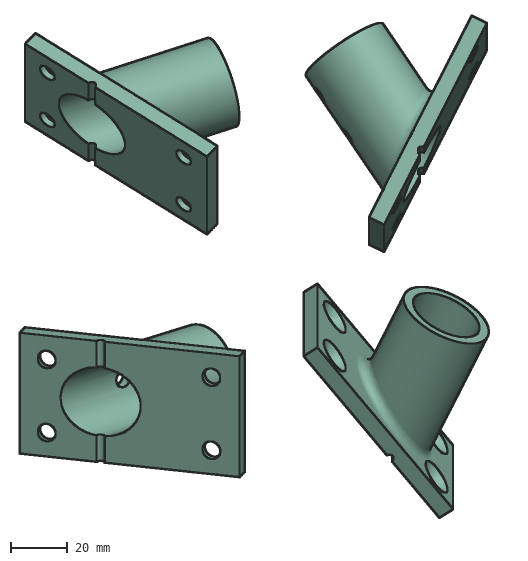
import cadquery as cq
import math

plate_length = 81.5
plate_height = 45.5
plate_thickness = 6.0
mid_height = plate_height / 2

screw_hole_diameter = 6.5
screw_spacing_x = 61.05
screw_spacing_z = 27.5
screw_center_x = 40.5
countersink_diameter = 13.0

tube_x = 30.0
tube_tilt = 30.0
tube_diameter = 33.0
bore_diameter = 25.7
total_depth = 51.2
base_fillet = 3.0

cross_hole_diameter = 6.5
cross_hole_setbacks = (9.0, 27.0)

groove_radius = 1.5

tilt = math.radians(tube_tilt)
tube_length = (total_depth - tube_diameter / 2 * math.sin(tilt)) / math.cos(tilt)
tube_origin = cq.Vector(tube_x, 0, mid_height)
tube_direction = cq.Vector(math.sin(tilt), math.cos(tilt), 0)
wall_direction = cq.Vector(-math.cos(tilt), math.sin(tilt), 0)


def cylinder(diameter, length, start, direction):
    return cq.Workplane(cq.Solid.makeCylinder(diameter / 2, length, start, direction))


def make_plate():
    return cq.Workplane().box(plate_length, plate_thickness, plate_height, centered=False)


def make_tube():
    """Solid tube, started below the front face and trimmed flush with it."""
    start = tube_origin - tube_direction * tube_diameter
    tube = cylinder(tube_diameter, tube_length + tube_diameter, start, tube_direction)
    trim_size = 2 * plate_length
    trim = cq.Workplane().box(trim_size, trim_size, trim_size).translate((0, -trim_size / 2, 0))
    return tube.cut(trim)


def fillet_tube_base(body):
    """Round the corner where the tube leaves the back of the plate."""
    edge_margin = 0.1
    joint_center_x = tube_x + plate_thickness * math.tan(tilt)
    reach = 0.7 * tube_diameter
    around_joint = cq.selectors.BoxSelector(
        (joint_center_x - reach, plate_thickness - edge_margin, 0),
        (joint_center_x + reach, plate_thickness + edge_margin, plate_height),
        boundingbox=True,
    )
    return body.edges(around_joint).fillet(base_fillet)


def make_bore():
    start = tube_origin - tube_direction * tube_diameter
    return cylinder(bore_diameter, tube_length + 2 * tube_diameter, start, tube_direction)


def cut_screw_holes(body):
    """Through holes, countersunk from the back of the plate."""
    sink_depth = (countersink_diameter - screw_hole_diameter) / 2
    sink_offset = cq.Vector(0, plate_thickness - sink_depth, 0)
    backward = cq.Vector(0, 1, 0)
    for side_x in (-1, 1):
        for side_z in (-1, 1):
            center = cq.Vector(
                screw_center_x + side_x * screw_spacing_x / 2,
                0,
                mid_height + side_z * screw_spacing_z / 2,
            )
            countersink = cq.Solid.makeCone(
                screw_hole_diameter / 2,
                countersink_diameter / 2,
                sink_depth,
                center + sink_offset,
                backward,
            )
            body = body.cut(cylinder(screw_hole_diameter, plate_thickness, center, backward))
            body = body.cut(cq.Workplane(countersink))
    return body


def cut_cross_holes(body):
    """Holes through one wall only, square to the tube axis."""
    for setback in cross_hole_setbacks:
        start = tube_origin + tube_direction * (tube_length - setback)
        body = body.cut(cylinder(cross_hole_diameter, tube_diameter, start, wall_direction))
    return body


def cut_groove(body):
    start = cq.Vector(tube_x, 0, 0)
    return body.cut(cylinder(2 * groove_radius, plate_height, start, cq.Vector(0, 0, 1)))


result = make_plate().union(make_tube())
result = fillet_tube_base(result)
result = result.cut(make_bore())
result = cut_screw_holes(result)
result = cut_cross_holes(result)
result = cut_groove(result)